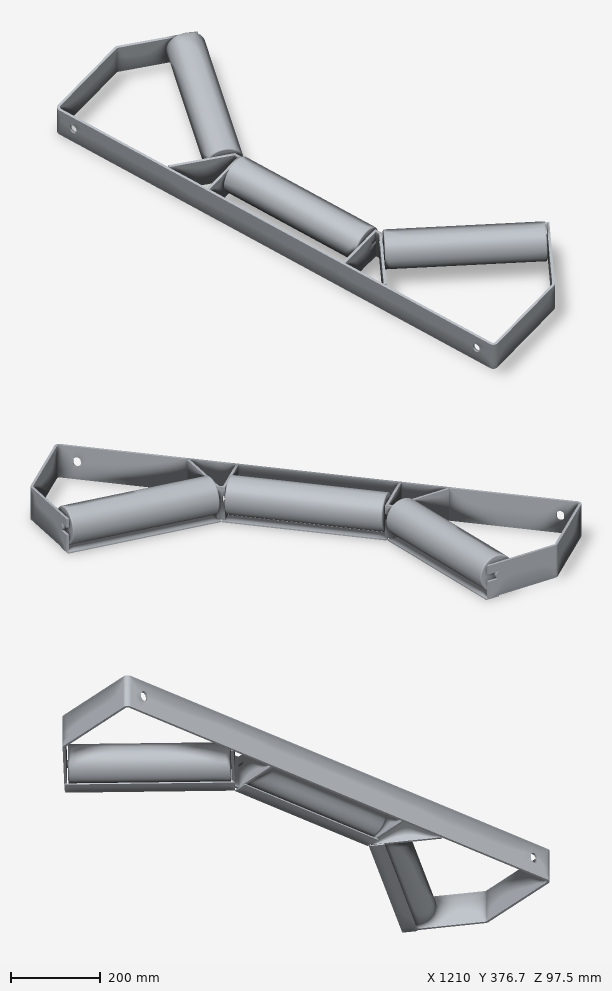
import cadquery as cq
import math

strip_height = 80.0
strip_thickness = 6.0
bend_radius = 12.0

frame_width = 1210.0
trough_angle = 40.0
arm_end_v = 30.0

mount_slot_inset = 50.0
mount_slot_length = 24.0
mount_slot_height_in_strip = 42.0
mount_slot_width = 18.0

roller_diameter = 89.0
roller_length = 362.0
roller_edge_fillet = 3.0
axle_diameter = 18.0
axle_height_in_strip = 50.0
end_gap = 3.0

plate_length = 378.0
plate_width = 35.0
plate_thickness = 3.0

centre_axle_y = 99.0
wing_middle_x = -358.0
wing_middle_y = 227.5

bracket_top_y = 127.0

strip_bottom_z = plate_thickness
axle_z = strip_bottom_z + axle_height_in_strip

support_inner_u = roller_length / 2 + end_gap
support_outer_u = support_inner_u + strip_thickness

half_width = frame_width / 2
angle = math.radians(trough_angle)
cos_a = math.cos(angle)
sin_a = math.sin(angle)


def wing_point(u, v):
    """XY place of a point u outward along the left wing axis and v upward across it."""
    return (
        wing_middle_x - u * cos_a + v * sin_a,
        wing_middle_y + u * sin_a + v * cos_a,
    )


def wing_point_at_x(u, x):
    return wing_point(u, (x - wing_middle_x + u * cos_a) / sin_a)


def v_at_y(u, y):
    return (y - wing_middle_y - u * sin_a) / cos_a


def wing_point_at_y(u, y):
    return wing_point(u, v_at_y(u, y))


def raise_strip(outline):
    base = cq.Workplane("XY").workplane(offset=strip_bottom_z)
    return base.polyline(outline).close().extrude(strip_height)


def place_centre(body):
    """Move a body modelled along X about the origin to the centre roller."""
    return body.translate((0, centre_axle_y, 0))


def place_left_wing(body):
    turned = body.rotate((0, 0, 0), (0, 0, 1), -trough_angle)
    return turned.translate((wing_middle_x, wing_middle_y, 0))


def place_right_wing(body):
    return place_left_wing(body).mirror("YZ")


placements = [place_centre, place_left_wing, place_right_wing]


def make_axle_slots():
    """Cutter for the axle slots at both ends of a roller, open toward +Y."""
    slot_length = 2 * support_outer_u
    round_end = cq.Workplane("YZ").center(0, axle_z).circle(axle_diameter / 2).extrude(slot_length)
    open_end = cq.Workplane("YZ").center(roller_diameter / 2, axle_z)
    open_end = open_end.rect(roller_diameter, axle_diameter).extrude(slot_length)
    return round_end.union(open_end).translate((-support_outer_u, 0, 0))


axle_slots = make_axle_slots()


def bend(body, corner, radius):
    """Round the upright edge of the strip that stands at a corner of its outline."""
    middle = (*corner, strip_bottom_z + strip_height / 2)
    return body.edges(cq.selectors.NearestToPointSelector(middle)).fillet(radius)


def make_frame():
    """Left half of the bent strip, joined to its mirror image."""
    inner_x = strip_thickness - half_width
    base_corner = (-half_width, 0)
    inner_base_corner = (inner_x, strip_thickness)
    shoulder = wing_point_at_x(support_outer_u, -half_width)
    inner_shoulder = wing_point_at_x(support_inner_u, inner_x)
    half = raise_strip([
        (0, 0),
        base_corner,
        shoulder,
        wing_point(support_outer_u, arm_end_v),
        wing_point(support_inner_u, arm_end_v),
        inner_shoulder,
        inner_base_corner,
        (0, strip_thickness),
    ])
    for corner in (base_corner, shoulder):
        half = bend(half, corner, bend_radius)
    for corner in (inner_base_corner, inner_shoulder):
        half = bend(half, corner, bend_radius - strip_thickness)
    half = half.cut(place_left_wing(axle_slots))
    mount_slot_z = strip_bottom_z + mount_slot_height_in_strip
    mount_slot = cq.Workplane("XZ").center(mount_slot_inset - half_width, mount_slot_z)
    mount_slot = mount_slot.slot2D(mount_slot_length, mount_slot_width, 90).extrude(-strip_thickness)
    half = half.cut(mount_slot)
    return half.union(half.mirror("YZ"))


def make_left_bracket():
    """Folded strip with an upright leg, a flat top and a leg square to the wing roller."""
    under_top_y = bracket_top_y - strip_thickness
    foot_v = v_at_y(-support_outer_u, strip_thickness)
    bracket = raise_strip([
        (-support_inner_u, strip_thickness),
        (-support_inner_u, bracket_top_y),
        wing_point_at_y(-support_inner_u, bracket_top_y),
        wing_point(-support_inner_u, foot_v),
        wing_point(-support_outer_u, foot_v),
        wing_point_at_y(-support_outer_u, under_top_y),
        (-support_outer_u, under_top_y),
        (-support_outer_u, strip_thickness),
    ])
    return bracket.cut(place_left_wing(axle_slots)).cut(place_centre(axle_slots))


def make_roller():
    """Drum in one piece with its axle, along X about the origin."""
    start = cq.Workplane("YZ").workplane(offset=-roller_length / 2).center(0, axle_z)
    drum = start.circle(roller_diameter / 2).extrude(roller_length)
    drum = drum.edges().fillet(roller_edge_fillet)
    axle = cq.Workplane("YZ").workplane(offset=-support_outer_u).center(0, axle_z)
    return drum.union(axle.circle(axle_diameter / 2).extrude(2 * support_outer_u))


def make_plate():
    """Flat plate below the upper half of a roller, against the underside of its supports."""
    size = (plate_length, plate_width, plate_thickness)
    return cq.Workplane("XY").box(*size, centered=(True, False, False))


frame = make_frame()
left_bracket = make_left_bracket()
brackets = [left_bracket, left_bracket.mirror("YZ")]
rollers = [place(make_roller()) for place in placements]
plates = [place(make_plate()) for place in placements]

bodies = [frame, *brackets, *rollers, *plates]
result = cq.Compound.makeCompound([body.val() for body in bodies])